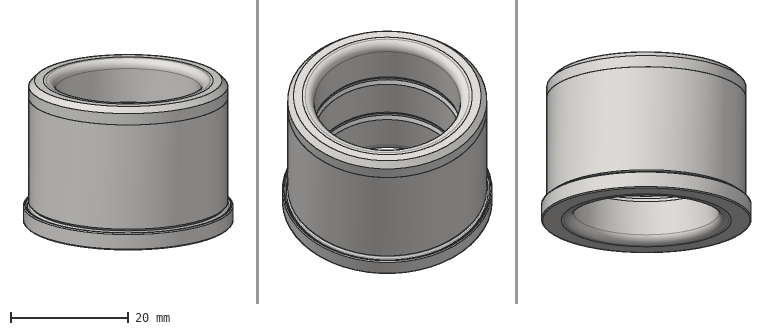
import cadquery as cq
import math

height = 25.0
bore_radius = 12.5

seat_radius = 14.5
body_radius = 17.01
top_face_radius = 16.0
lead_in_height = 3.0
lead_in_clearance = 0.02
flange_radius = 17.9
flange_height = 3.0
flange_chamfer = 0.2
undercut_top = 3.5
undercut_body_depth = 0.4
undercut_flange_depth = 0.28
undercut_fillet = 0.3
undercut_rim_radius = 17.5

mouth_fillet = 1.5
groove_count = 2
groove_depth = 0.42
groove_floor_width = 0.42
groove_flank_height = 0.67


def make_housing():
    undercut_radius = body_radius - undercut_body_depth
    undercut_floor = flange_height - undercut_flange_depth
    undercut_floor_radius = undercut_rim_radius - undercut_flange_depth
    fillet_end_radius = undercut_radius + undercut_fillet
    fillet_top = undercut_floor + undercut_fillet
    fillet_inset = undercut_fillet * (1 - math.sqrt(0.5))
    lead_in_radius = body_radius - lead_in_clearance
    lead_in_start = height - lead_in_height
    top_chamfer = lead_in_radius - top_face_radius
    profile = (
        cq.Workplane("XZ")
        .moveTo(seat_radius, 0)
        .lineTo(flange_radius - flange_chamfer, 0)
        .lineTo(flange_radius, flange_chamfer)
        .lineTo(flange_radius, flange_height - flange_chamfer)
        .lineTo(flange_radius - flange_chamfer, flange_height)
        .lineTo(undercut_rim_radius, flange_height)
        .lineTo(undercut_floor_radius, undercut_floor)
        .lineTo(fillet_end_radius, undercut_floor)
        .threePointArc(
            (undercut_radius + fillet_inset, undercut_floor + fillet_inset),
            (undercut_radius, fillet_top),
        )
        .lineTo(undercut_radius, undercut_top - undercut_body_depth)
        .lineTo(body_radius, undercut_top)
        .lineTo(body_radius, lead_in_start)
        .lineTo(lead_in_radius, lead_in_start)
        .lineTo(lead_in_radius, height - top_chamfer)
        .lineTo(top_face_radius, height)
        .lineTo(seat_radius, height)
        .close()
    )
    return profile.revolve(360, (0, 0, 0), (0, 1, 0))


def make_groove_cutter(middle):
    """Ring with sloping flanks, centred on the height `middle`."""
    floor_radius = bore_radius + groove_depth
    floor_half = groove_floor_width / 2
    mouth_half = floor_half + groove_flank_height
    profile = (
        cq.Workplane("XZ")
        .moveTo(bore_radius, middle - mouth_half)
        .lineTo(floor_radius, middle - floor_half)
        .lineTo(floor_radius, middle + floor_half)
        .lineTo(bore_radius, middle + mouth_half)
        .close()
    )
    return profile.revolve(360, (0, 0, 0), (0, 1, 0))


def make_liner():
    sleeve = cq.Workplane("XY").circle(seat_radius).circle(bore_radius).extrude(height)
    bore_edges = cq.selectors.RadiusNthSelector(0)
    sleeve = sleeve.edges("%CIRCLE").edges(bore_edges).fillet(mouth_fillet)
    groove_spacing = height / (groove_count + 1)
    for index in range(groove_count):
        sleeve = sleeve.cut(make_groove_cutter((index + 1) * groove_spacing))
    return sleeve


housing = make_housing()
liner = make_liner()

result = cq.Compound.makeCompound([housing.val(), liner.val()])